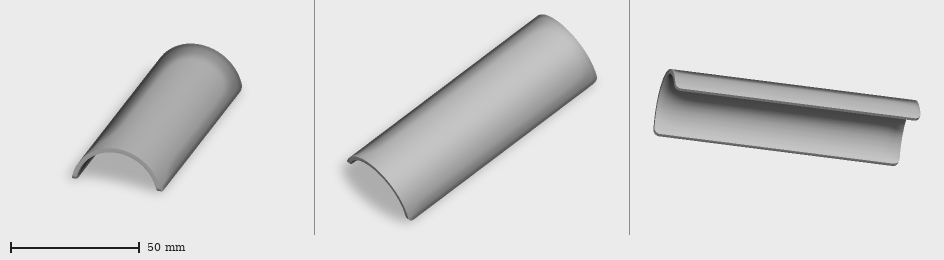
import cadquery as cq
import math

length = 98.0
width = 36.75
height = 16.5
thickness = 1.8
corner_radius = 2.45

half_width = width / 2
outer_radius = (half_width**2 + height**2) / (2 * height)
inner_radius = outer_radius - thickness
axis_drop = outer_radius - height
inner_half_width = math.sqrt(inner_radius**2 - axis_drop**2)


def curved_wall():
    """Arched shell along Y, standing on Z = 0."""
    return (
        cq.Workplane("XZ")
        .moveTo(-half_width, 0)
        .threePointArc((0, height), (half_width, 0))
        .lineTo(inner_half_width, 0)
        .threePointArc((0, height - thickness), (-inner_half_width, 0))
        .close()
        .extrude(length / 2, both=True)
    )


def side_outline():
    """Block with rounded lower corners at both ends."""
    return (
        cq.Workplane("XY")
        .box(width, length, height, centered=(True, True, False))
        .edges("|X and <Z")
        .fillet(corner_radius)
    )


result = curved_wall().intersect(side_outline())